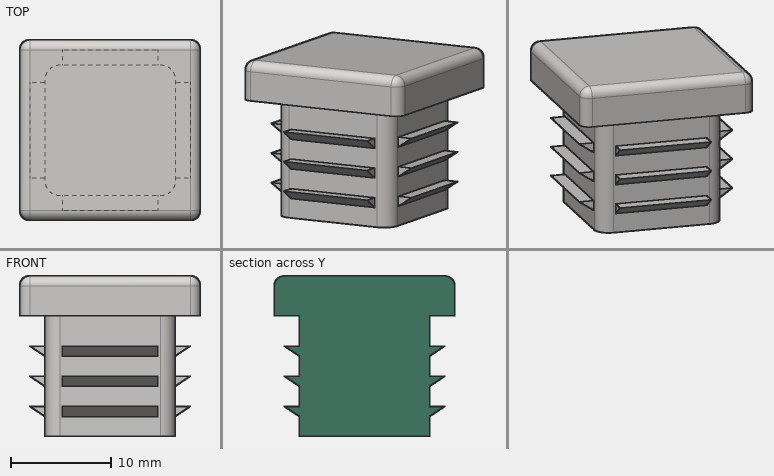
import cadquery as cq

cap_width = 18.0
total_height = 16.0

cap_height = 4.0
cap_rounding = 1.0

stem_width = 13.0
stem_corner_radius = 1.5
stem_height = total_height - cap_height

fins_per_side = 3
fin_pitch = 3.0
fin_reach = 1.5
fin_thickness = 1.0
fin_length = 9.5
fin_root_overlap = 0.36


def make_cap():
    """Square cap with rounded upright corners and a rounded top edge."""
    cap = cq.Workplane("XY").workplane(offset=stem_height).rect(cap_width, cap_width).extrude(cap_height)
    return cap.edges("|Z or >Z").fillet(cap_rounding)


def make_stem():
    """Square stem standing on Z = 0, with rounded upright corners."""
    stem = cq.Workplane("XY").rect(stem_width, stem_width).extrude(stem_height)
    return stem.edges("|Z").fillet(stem_corner_radius)


def make_fin(top_z):
    """One wedge-shaped fin on the +X side of the stem."""
    face_x = stem_width / 2
    root_x = face_x - fin_root_overlap
    bottom_z = top_z - fin_thickness
    outline = [
        (root_x, top_z),
        (face_x + fin_reach, top_z),
        (face_x, bottom_z),
        (root_x, bottom_z),
    ]
    return cq.Workplane("XZ").polyline(outline).close().extrude(fin_length / 2, both=True)


result = make_cap().union(make_stem())
for row in range(1, fins_per_side + 1):
    fin = make_fin(stem_height - row * fin_pitch)
    for angle in (0, 90, 180, 270):
        result = result.union(fin.rotate((0, 0, 0), (0, 0, 1), angle))